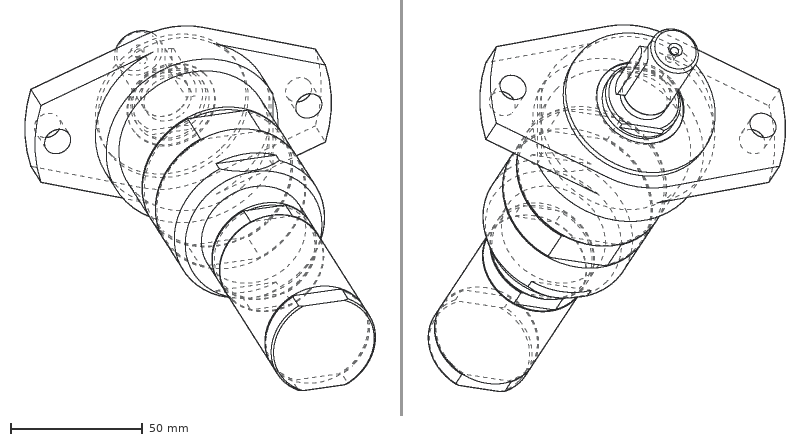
import cadquery as cq
import math


SHAFT_DIAMETER = 19.0
SHAFT_SEAT_DIAMETER = 18.8
SHAFT_SEAT_START = 36.1
SHAFT_CHAMFER = 1.2
CENTRE_SINK_DIAMETER = 5.5
CENTRE_DRILL_DIAMETER = 3.2
CENTRE_DRILL_DEPTH = 7.5
KEY_START = 4.7
KEY_END = 37.4
KEY_WIDTH = 6.5
KEY_TOP = 12.1

COLLAR_START = 40.0
COLLAR_FLATS_END = 43.8
COLLAR_DIAMETER = 30.0
COLLAR_CHAMFER = 1.0
COLLAR_FLATS_WIDTH = 24.8
RECESS_DIAMETER = 35.0
RECESS_DEPTH = 1.0

PILOT_START = 44.3
FLANGE_START = 47.3
FLANGE_END = 61.0
FLANGE_SPAN = 118.0
FLANGE_HEIGHT = 70.0
FLANGE_SIDE_ANGLE = 20
BOLT_SPACING = 100.0
BOLT_HOLE_DIAMETER = 10.5

HUB_END = 75.2
HUB_FLAT_START = 69.8
HUB_FLAT_OFFSET = 31.5

GEARBOX_DIAMETER = 60.0
GEARBOX_FLATS_WIDTH = 55.0
FRONT_FLATS_START = 106.5
FRONT_FLATS_END = 124.0
REAR_FLATS_START = 144.3
TAPER_START = 148.7
GEARBOX_END = 154.2
TAPER_END_DIAMETER = 54.5

MOTOR_DIAMETER = 41.5
MOTOR_FLATS_START = 168.8
MOTOR_FLATS_END = 178.0
MOTOR_FLATS_WIDTH = 38.0
BARREL_CHAMFER = 0.2
END_CAP_START = 238.3
END_CAP_FLATS_WIDTH = 36.6
TOTAL_LENGTH = 247.5

JOINT_CHAMFER = 0.7
FINE_JOINT_CHAMFER = 0.5


def cylinder(start, end, diameter):
    """Round bar along X between two stations."""
    return cq.Workplane("YZ", origin=(start, 0, 0)).circle(diameter / 2).extrude(end - start)


def flat_pair(body, start, end, width):
    """Cut two flats, square to Z, between two stations of a body."""
    height = FLANGE_SPAN
    length = end - start
    middle = (start + end) / 2
    for side in (1, -1):
        cutter = cq.Workplane("XY").box(length, FLANGE_SPAN, height)
        body = body.cut(cutter.translate((middle, 0, side * (width + height) / 2)))
    return body


def make_shaft():
    shaft = cylinder(0, SHAFT_SEAT_START, SHAFT_DIAMETER).faces("<X").chamfer(SHAFT_CHAMFER)
    shaft = shaft.union(cylinder(SHAFT_SEAT_START, PILOT_START, SHAFT_SEAT_DIAMETER))
    key = (
        cq.Workplane("XZ")
        .center((KEY_START + KEY_END) / 2, 0)
        .slot2D(KEY_END - KEY_START, KEY_WIDTH)
        .extrude(-KEY_TOP)
    )
    return shaft.union(key)


def make_centre_drilling():
    """Countersunk centre hole with a drill-point bottom."""
    sink_radius = CENTRE_SINK_DIAMETER / 2
    drill_radius = CENTRE_DRILL_DIAMETER / 2
    return (
        cq.Workplane("XY")
        .polyline([
            (0, 0),
            (0, sink_radius),
            (sink_radius - drill_radius, drill_radius),
            (CENTRE_DRILL_DEPTH, drill_radius),
            (CENTRE_DRILL_DEPTH + drill_radius, 0),
        ])
        .close()
        .revolve(360, (0, 0, 0), (1, 0, 0))
    )


def make_collar():
    collar = cylinder(COLLAR_START, FLANGE_START, COLLAR_DIAMETER).faces("<X").chamfer(COLLAR_CHAMFER)
    return flat_pair(collar, COLLAR_START, COLLAR_FLATS_END, COLLAR_FLATS_WIDTH)


def make_flange():
    """Plate whose straight sides run tangent from the round middle to the rounded ends."""
    slope = math.radians(FLANGE_SIDE_ANGLE)
    middle_radius = FLANGE_HEIGHT / 2
    end_radius = FLANGE_SPAN / 2
    tangent_y = middle_radius * math.sin(slope)
    tangent_z = middle_radius * math.cos(slope)
    corner_angle = math.pi / 2 - slope - math.acos(middle_radius / end_radius)
    corner_y = end_radius * math.cos(corner_angle)
    corner_z = end_radius * math.sin(corner_angle)
    return (
        cq.Workplane("YZ", origin=(FLANGE_START, 0, 0))
        .moveTo(-tangent_y, tangent_z)
        .threePointArc((0, middle_radius), (tangent_y, tangent_z))
        .lineTo(corner_y, corner_z)
        .threePointArc((end_radius, 0), (corner_y, -corner_z))
        .lineTo(tangent_y, -tangent_z)
        .threePointArc((0, -middle_radius), (-tangent_y, -tangent_z))
        .lineTo(-corner_y, -corner_z)
        .threePointArc((-end_radius, 0), (-corner_y, corner_z))
        .close()
        .pushPoints([(-BOLT_SPACING / 2, 0), (BOLT_SPACING / 2, 0)])
        .circle(BOLT_HOLE_DIAMETER / 2)
        .extrude(FLANGE_END - FLANGE_START)
    )


def make_pilot():
    recess = cylinder(PILOT_START, PILOT_START + RECESS_DEPTH, RECESS_DIAMETER)
    return cylinder(PILOT_START, FLANGE_START, GEARBOX_DIAMETER).cut(recess)


def make_hub():
    flat_cut = (
        cq.Workplane("XY")
        .box(HUB_END - HUB_FLAT_START, FLANGE_HEIGHT, FLANGE_HEIGHT)
        .translate(((HUB_FLAT_START + HUB_END) / 2, HUB_FLAT_OFFSET + FLANGE_HEIGHT / 2, 0))
    )
    return cylinder(FLANGE_END, HUB_END, FLANGE_HEIGHT).cut(flat_cut)


def make_gearbox():
    front = cylinder(HUB_END, FRONT_FLATS_START, GEARBOX_DIAMETER).faces(">X").chamfer(JOINT_CHAMFER)
    ring = cylinder(FRONT_FLATS_START, FRONT_FLATS_END, GEARBOX_DIAMETER)
    ring = ring.faces(">X").chamfer(FINE_JOINT_CHAMFER)
    ring = flat_pair(ring, FRONT_FLATS_START, FRONT_FLATS_END, GEARBOX_FLATS_WIDTH)
    taper_length = GEARBOX_END - TAPER_START
    taper_drop = (GEARBOX_DIAMETER - TAPER_END_DIAMETER) / 2
    rear = (
        cylinder(FRONT_FLATS_END, GEARBOX_END, GEARBOX_DIAMETER)
        .faces(">X")
        .edges()
        .chamfer(taper_length, taper_drop)
    )
    rear = flat_pair(rear, REAR_FLATS_START, GEARBOX_END, GEARBOX_FLATS_WIDTH)
    return front.union(ring).union(rear)


def make_motor():
    front = cylinder(GEARBOX_END, MOTOR_FLATS_START, MOTOR_DIAMETER).faces(">X").chamfer(JOINT_CHAMFER)
    ring = cylinder(MOTOR_FLATS_START, MOTOR_FLATS_END, MOTOR_DIAMETER)
    ring = flat_pair(ring, MOTOR_FLATS_START, MOTOR_FLATS_END, MOTOR_FLATS_WIDTH)
    barrel = cylinder(MOTOR_FLATS_END, END_CAP_START, MOTOR_DIAMETER)
    barrel = barrel.faces("<X").chamfer(BARREL_CHAMFER)
    cap = cylinder(END_CAP_START, TOTAL_LENGTH, MOTOR_DIAMETER).faces(">X").chamfer(JOINT_CHAMFER)
    cap = cap.faces("<X").chamfer(FINE_JOINT_CHAMFER)
    cap = flat_pair(cap, END_CAP_START, TOTAL_LENGTH, END_CAP_FLATS_WIDTH)
    return front.union(ring).union(barrel).union(cap)


result = (
    make_pilot()
    .union(make_flange())
    .union(make_hub())
    .union(make_gearbox())
    .union(make_motor())
    .union(make_collar())
    .union(make_shaft())
    .cut(make_centre_drilling())
)